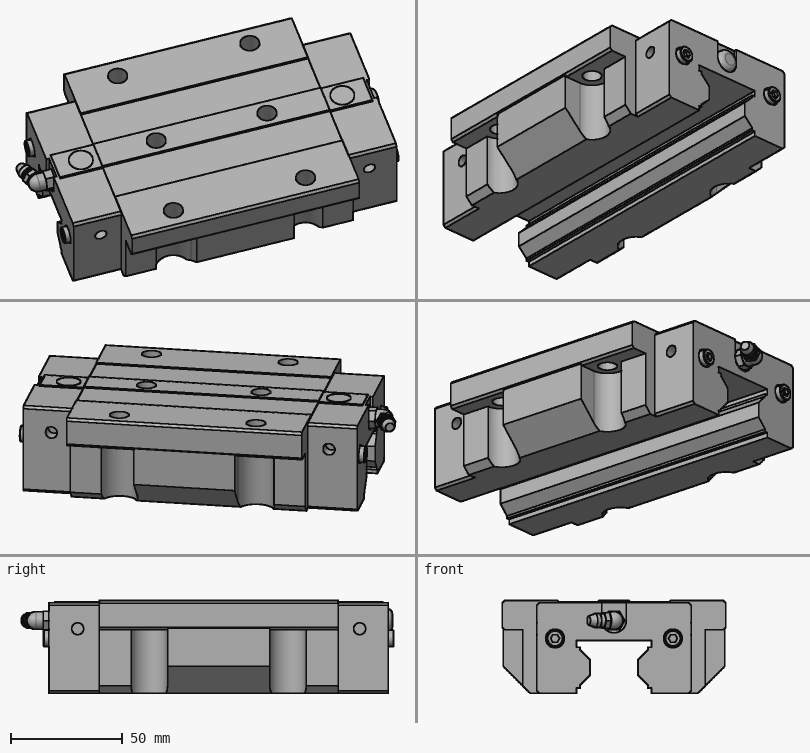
import cadquery as cq
import math

HEIGHT = 41.5
FLANGE_HALF_WIDTH = 50.0
CARRIAGE_LENGTH = 106.7
FLANGE_UNDERSIDE = 28.3
EDGE_CHAMFER = 1.2
SKIRT_HALF_WIDTH = 49.5
FOOT_HALF_WIDTH = 37.5

STEP = 0.5
BAND_HALF_WIDTH = 25.3
STRIP_HALF_WIDTH = 7.2

HOLE_DIAMETER = 8.7
BOLT_X = 40.8
BOLT_Y = 31.0
CENTER_HOLE_Y = 26.0
POCKET_RADIUS = 8.2

CAP_HALF_WIDTH = 34.5
CAP_TOP = HEIGHT - 2 * STEP
ASSEMBLY_LENGTH = 151.7
PLATE_THICKNESS = 2.5
SIDE_PORT_DIAMETER = 5.3
SIDE_PORT_DEPTH = 6.7
SIDE_PORT_Y = 63.0
SIDE_PORT_Z = 28.8
TOP_MARK_DIAMETER = 10.8
TOP_MARK_DEPTH = 0.2
TOP_MARK_Y = 61.3

RAIL_TOP = 23.5
RAIL_HALF_WIDTH = 16.7
RAIL_LEDGE_HALF_WIDTH = 15.2
RAIL_WAIST_HALF_WIDTH = 10.7
RAIL_UPPER_LEDGE = 20.7
RAIL_UPPER_FLANK = 19.5
RAIL_WAIST_TOP = 15.0
RAIL_WAIST_BOTTOM = 8.0
RAIL_LOWER_FLANK = 3.5
RAIL_LOWER_LEDGE = 2.3

SCREW_X = 26.3
SCREW_Z = 24.5
SCREW_RADIUS = 3.7
SCREW_PROUD = 2.5
SCREW_EDGE_CHAMFER = 0.3
SCREW_CLEARANCE_RADIUS = 4.2
SCREW_SEAT_DEPTH = 0.8
SOCKET_DIAMETER = 4.0
SOCKET_DEPTH = 1.7

PORT_Z = 32.5
PORT_RADIUS = 5.5
PORT_DEPTH = 1.3
PLUG_RADIUS = 5.3
PLUG_HEIGHT = 3.2
PLUG_EDGE_RADIUS = 2.5

NIPPLE_HEX_DIAMETER = 9.7
NIPPLE_HEX_HEIGHT = 4.0
NIPPLE_RADIUS = 4.0
NIPPLE_BARREL_LENGTH = 3.3
BRANCH_ANGLE = 22.5
COLLAR_DIAMETER = 8.2
COLLAR_START = 2.8
COLLAR_END = 5.3
HEAD_RADIUS = 3.2
HEAD_NECK_RADIUS = 2.5
HEAD_NECK = 7.0
HEAD_RIM_START = 7.2
HEAD_RIM_END = 9.2
HEAD_TIP_RADIUS = 2.0
HEAD_TIP = 12.2

BOLT_PLACES = [(x, y) for x in (-BOLT_X, BOLT_X) for y in (-BOLT_Y, BOLT_Y)]
HALF_LENGTH = ASSEMBLY_LENGTH / 2
OVERLAP = 0.8


def extrude_along_y(half_outline, length):
    """Extrude a +X half outline, mirrored about X = 0, centred on Y = 0."""
    mirrored = [(-x, z) for x, z in reversed(half_outline) if x > 0]
    outline = half_outline + mirrored
    return cq.Workplane("XZ").polyline(outline).close().extrude(length / 2, both=True)


def end_plane(y, direction, x=0, z=0):
    """Workplane at the given end height, facing outwards along Y."""
    return cq.Workplane(cq.Plane(origin=(x, y * direction, z), xDir=(1, 0, 0), normal=(0, direction, 0)))


def make_skirt(half_width, length):
    """Block under the flange, with its lower corners cut to the common 45 degree slope."""
    outline = [
        (0, FLANGE_UNDERSIDE + EDGE_CHAMFER),
        (half_width, FLANGE_UNDERSIDE + EDGE_CHAMFER),
        (half_width, half_width - FOOT_HALF_WIDTH),
        (FOOT_HALF_WIDTH, 0),
        (0, 0),
    ]
    return extrude_along_y(outline, length)


def make_carriage():
    """Flange on a skirt that is wide between the bolts and narrow beyond them."""
    flange_outline = [
        (0, HEIGHT),
        (STRIP_HALF_WIDTH - STEP, HEIGHT),
        (STRIP_HALF_WIDTH, HEIGHT - STEP),
        (BAND_HALF_WIDTH - STEP, HEIGHT - STEP),
        (BAND_HALF_WIDTH, HEIGHT),
        (FLANGE_HALF_WIDTH - EDGE_CHAMFER, HEIGHT),
        (FLANGE_HALF_WIDTH, HEIGHT - EDGE_CHAMFER),
        (FLANGE_HALF_WIDTH, FLANGE_UNDERSIDE + EDGE_CHAMFER),
        (FLANGE_HALF_WIDTH - EDGE_CHAMFER, FLANGE_UNDERSIDE),
        (0, FLANGE_UNDERSIDE),
    ]
    flange = extrude_along_y(flange_outline, CARRIAGE_LENGTH)
    wide_skirt = make_skirt(SKIRT_HALF_WIDTH, 2 * (BOLT_Y - POCKET_RADIUS))
    narrow_skirt = make_skirt(BOLT_X, CARRIAGE_LENGTH)
    return flange.union(wide_skirt).union(narrow_skirt)


def make_bolt_pockets():
    """Round pockets that clear the flange bolts below the flange."""
    return cq.Workplane("XY").pushPoints(BOLT_PLACES).circle(POCKET_RADIUS).extrude(FLANGE_UNDERSIDE)


def make_bolt_holes():
    places = BOLT_PLACES + [(0, -CENTER_HOLE_Y), (0, CENTER_HOLE_Y)]
    return cq.Workplane("XY").pushPoints(places).circle(HOLE_DIAMETER / 2).extrude(HEIGHT)


def make_end_caps():
    """Both caps and their plates, with the raised strip continued up to the plates."""
    outline = [
        (0, CAP_TOP),
        (CAP_HALF_WIDTH - EDGE_CHAMFER, CAP_TOP),
        (CAP_HALF_WIDTH, CAP_TOP - EDGE_CHAMFER),
        (CAP_HALF_WIDTH, EDGE_CHAMFER),
        (CAP_HALF_WIDTH - EDGE_CHAMFER, 0),
        (0, 0),
    ]
    strip = [
        (0, CAP_TOP + STEP),
        (STRIP_HALF_WIDTH - STEP, CAP_TOP + STEP),
        (STRIP_HALF_WIDTH, CAP_TOP),
        (0, CAP_TOP),
    ]
    caps = extrude_along_y(outline, ASSEMBLY_LENGTH)
    return caps.union(extrude_along_y(strip, ASSEMBLY_LENGTH - 2 * PLATE_THICKNESS))


def make_cap_recesses():
    """Round ports in the cap sides and shallow round marks on the cap tops."""
    side_places = [(-SIDE_PORT_Y, SIDE_PORT_Z), (SIDE_PORT_Y, SIDE_PORT_Z)]
    port_sketch = cq.Workplane("YZ").pushPoints(side_places).circle(SIDE_PORT_DIAMETER / 2)
    ports = port_sketch.extrude(CAP_HALF_WIDTH, both=True)
    core_half_width = CAP_HALF_WIDTH - SIDE_PORT_DEPTH
    ports = ports.cut(cq.Workplane("XY").box(2 * core_half_width, ASSEMBLY_LENGTH, 2 * HEIGHT))
    marks = (
        cq.Workplane("XY", origin=(0, 0, CAP_TOP + STEP - TOP_MARK_DEPTH))
        .pushPoints([(0, -TOP_MARK_Y), (0, TOP_MARK_Y)])
        .circle(TOP_MARK_DIAMETER / 2)
        .extrude(TOP_MARK_DEPTH)
    )
    return ports.union(marks)


def make_rail_opening():
    outline = [
        (0, RAIL_TOP),
        (RAIL_HALF_WIDTH, RAIL_TOP),
        (RAIL_HALF_WIDTH, RAIL_UPPER_LEDGE),
        (RAIL_LEDGE_HALF_WIDTH, RAIL_UPPER_LEDGE),
        (RAIL_LEDGE_HALF_WIDTH, RAIL_UPPER_FLANK),
        (RAIL_WAIST_HALF_WIDTH, RAIL_WAIST_TOP),
        (RAIL_WAIST_HALF_WIDTH, RAIL_WAIST_BOTTOM),
        (RAIL_LEDGE_HALF_WIDTH, RAIL_LOWER_FLANK),
        (RAIL_LEDGE_HALF_WIDTH, RAIL_LOWER_LEDGE),
        (RAIL_HALF_WIDTH, RAIL_LOWER_LEDGE),
        (RAIL_HALF_WIDTH, 0),
        (0, 0),
    ]
    return extrude_along_y(outline, ASSEMBLY_LENGTH)


def make_port_slot(direction):
    """Slot in an end plate, round at the bottom and open at the top."""
    slot = end_plane(HALF_LENGTH - PORT_DEPTH, direction, z=PORT_Z).circle(PORT_RADIUS).extrude(PORT_DEPTH)
    slot_height = HEIGHT - PORT_Z
    opening = cq.Workplane("XY").box(2 * PORT_RADIUS, PORT_DEPTH, slot_height).translate(
        (0, direction * (HALF_LENGTH - PORT_DEPTH / 2), PORT_Z + slot_height / 2)
    )
    return slot.union(opening)


def add_screw(body, x, direction):
    seat_y = HALF_LENGTH - SCREW_SEAT_DEPTH
    head_top = HALF_LENGTH + SCREW_PROUD
    seat = end_plane(seat_y, direction, x, SCREW_Z).circle(SCREW_CLEARANCE_RADIUS).extrude(SCREW_SEAT_DEPTH)
    head_start = seat_y - OVERLAP
    head = end_plane(head_start, direction, x, SCREW_Z).circle(SCREW_RADIUS).extrude(head_top - head_start)
    head = head.faces(">Y" if direction > 0 else "<Y").chamfer(SCREW_EDGE_CHAMFER)
    socket = end_plane(head_top - SOCKET_DEPTH, direction, x, SCREW_Z)
    socket = socket.polygon(6, SOCKET_DIAMETER).extrude(SOCKET_DEPTH)
    return body.cut(seat).union(head).cut(socket)


def make_plug():
    """Round-edged plug closing the +Y port."""
    start = HALF_LENGTH - PORT_DEPTH - OVERLAP
    plug = end_plane(start, 1, z=PORT_Z).circle(PLUG_RADIUS).extrude(PLUG_HEIGHT + OVERLAP)
    return plug.faces(">Y").edges().fillet(PLUG_EDGE_RADIUS)


def make_nipple():
    """Hex base and round barrel along -Y, with a nipple head branching off the ball end."""
    base_y = HALF_LENGTH - PORT_DEPTH
    barrel_y = base_y + NIPPLE_HEX_HEIGHT
    ball_y = barrel_y + NIPPLE_BARREL_LENGTH
    base = end_plane(base_y - OVERLAP, -1, z=PORT_Z)
    base = base.polygon(6, NIPPLE_HEX_DIAMETER).extrude(NIPPLE_HEX_HEIGHT + OVERLAP)
    barrel_length = NIPPLE_BARREL_LENGTH + OVERLAP
    barrel = end_plane(barrel_y - OVERLAP, -1, z=PORT_Z).circle(NIPPLE_RADIUS).extrude(barrel_length)
    ball = cq.Workplane("XY").sphere(NIPPLE_RADIUS).translate((0, -ball_y, PORT_Z))

    angle = math.radians(BRANCH_ANGLE)
    axis = (-math.cos(angle), -math.sin(angle), 0)
    across = (math.sin(angle), -math.cos(angle), 0)
    ball_center = (0, -ball_y, PORT_Z)
    branch_plane = cq.Plane(origin=ball_center, xDir=across, normal=axis)
    collar = (
        cq.Workplane(branch_plane)
        .workplane(offset=COLLAR_START)
        .polygon(6, COLLAR_DIAMETER)
        .extrude(COLLAR_END - COLLAR_START)
    )
    head_profile = [
        (0, 0),
        (HEAD_RADIUS, 0),
        (HEAD_RADIUS, COLLAR_END),
        (HEAD_NECK_RADIUS, HEAD_NECK),
        (HEAD_RADIUS, HEAD_RIM_START),
        (HEAD_RADIUS, HEAD_RIM_END),
        (HEAD_TIP_RADIUS, HEAD_TIP),
        (0, HEAD_TIP),
    ]
    profile_plane = cq.Plane(origin=ball_center, xDir=across, normal=(0, 0, -1))
    head = cq.Workplane(profile_plane).polyline(head_profile).close().revolve(360, (0, 0), (0, 1))
    return base.union(barrel).union(ball).union(collar).union(head)


body = make_carriage().union(make_end_caps()).cut(make_bolt_pockets())
body = body.cut(make_rail_opening()).cut(make_bolt_holes()).cut(make_cap_recesses())
for end in (-1, 1):
    body = body.cut(make_port_slot(end))
    for screw_x in (-SCREW_X, SCREW_X):
        body = add_screw(body, screw_x, end)
result = body.union(make_plug()).union(make_nipple())